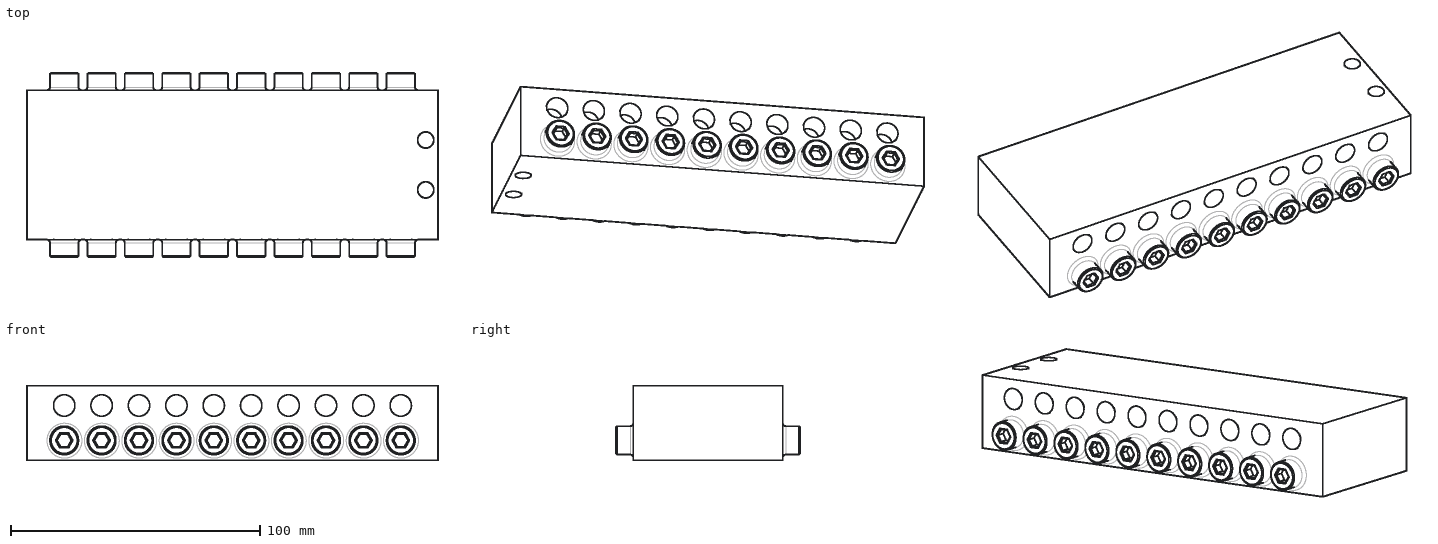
import cadquery as cq
import math

BLOCK_LENGTH = 165.0
BLOCK_WIDTH = 60.0
BLOCK_HEIGHT = 30.0

STATION_COUNT = 10
STATION_PITCH = 15.0
ROW_INSET = 8.0
PLUG_Z = ROW_INSET
PORT_Z = BLOCK_HEIGHT - ROW_INSET

PORT_DIAMETER = 8.6
PORT_DEPTH = 12.0

PLUG_PROJECTION = 7.0
PLUG_DIAMETER = 11.5
PLUG_CHAMFER = 0.5
PLUG_ROOT_FILLET = 1.25
SOCKET_ACROSS_FLATS = 5.0
SOCKET_DEPTH = 4.0
SOCKET_CHAMFER = 0.5
SOCKET_SIDES = 6

MOUNT_DIAMETER = 6.4
MOUNT_SPACING = 20.0
MOUNT_END_INSET = 5.0

SIDES = (-1, 1)


def station_positions():
    """X coordinates of the stations, centred on the block."""
    first = -STATION_PITCH * (STATION_COUNT - 1) / 2
    return [first + STATION_PITCH * i for i in range(STATION_COUNT)]


def side_plane(side):
    """Plane on a long block face, with its normal pointing outward and its local Y along +Z."""
    return cq.Plane(origin=(0, side * BLOCK_WIDTH / 2, 0), xDir=(-side, 0, 0), normal=(0, side, 0))


def make_block():
    return cq.Workplane("XY").box(BLOCK_LENGTH, BLOCK_WIDTH, BLOCK_HEIGHT, centered=(True, True, False))


def make_mounting_holes():
    x = BLOCK_LENGTH / 2 - MOUNT_END_INSET
    points = [(x, -MOUNT_SPACING / 2), (x, MOUNT_SPACING / 2)]
    return cq.Workplane("XY").pushPoints(points).circle(MOUNT_DIAMETER / 2).extrude(BLOCK_HEIGHT)


def make_ports(side):
    points = [(x, PORT_Z) for x in station_positions()]
    ports = cq.Workplane(side_plane(side)).pushPoints(points)
    return ports.circle(PORT_DIAMETER / 2).extrude(-PORT_DEPTH)


def hexagon(across_flats, z):
    """Hexagon wire at height z, with two corners on the X axis."""
    across_corners = across_flats / math.cos(math.pi / SOCKET_SIDES)
    return cq.Workplane("XY", origin=(0, 0, z)).polygon(SOCKET_SIDES, across_corners)


def make_socket():
    """Hexagonal socket volume with a chamfered mouth at the plug's outer end."""
    mouth_across_flats = SOCKET_ACROSS_FLATS + 2 * SOCKET_CHAMFER
    recess = hexagon(SOCKET_ACROSS_FLATS, PLUG_PROJECTION).extrude(-SOCKET_DEPTH)
    mouth_wires = [
        hexagon(SOCKET_ACROSS_FLATS, PLUG_PROJECTION - SOCKET_CHAMFER).wires().val(),
        hexagon(mouth_across_flats, PLUG_PROJECTION).wires().val(),
    ]
    return recess.union(cq.Solid.makeLoft(mouth_wires, True))


def make_plug():
    """Plug standing on the XY plane: filleted root, chamfered head and hexagonal socket."""
    head_radius = PLUG_DIAMETER / 2
    root_radius = head_radius + PLUG_ROOT_FILLET
    diagonal = PLUG_ROOT_FILLET * math.sqrt(0.5)
    fillet_middle = (root_radius - diagonal, PLUG_ROOT_FILLET - diagonal)
    body = (
        cq.Workplane("XZ")
        .lineTo(root_radius, 0)
        .threePointArc(fillet_middle, (head_radius, PLUG_ROOT_FILLET))
        .lineTo(head_radius, PLUG_PROJECTION - PLUG_CHAMFER)
        .lineTo(head_radius - PLUG_CHAMFER, PLUG_PROJECTION)
        .lineTo(0, PLUG_PROJECTION)
        .close()
        .revolve(360, (0, 0, 0), (0, 1, 0))
    )
    return body.cut(make_socket())


def make_plugs(side):
    """Row of plugs on one long side, each with two socket corners along X."""
    plane = side_plane(side)
    plug = make_plug().val().moved(plane.location)
    return [plug.translate(cq.Vector(x, 0, PLUG_Z)) for x in station_positions()]


result = make_block().cut(make_mounting_holes())
for side in SIDES:
    result = result.cut(make_ports(side))
    for plug in make_plugs(side):
        result = result.union(plug)